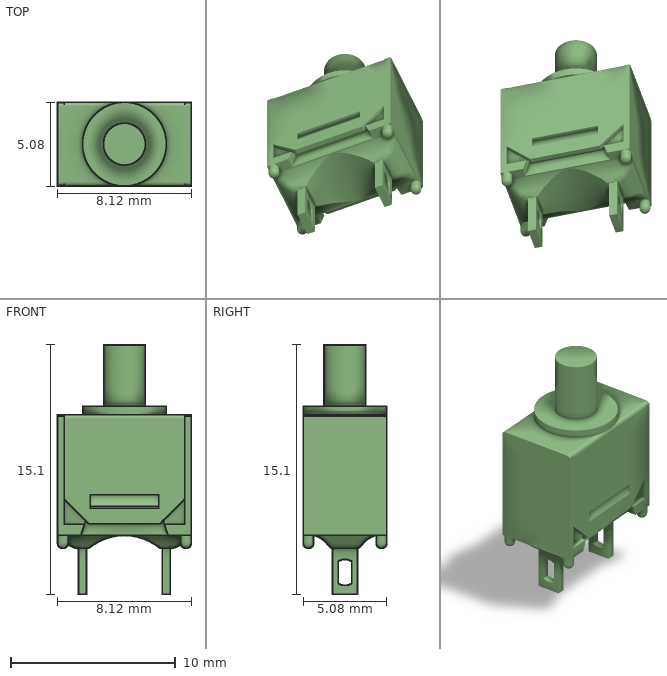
import cadquery as cq
import math

LENGTH = 8.12
DEPTH = 5.08
TOTAL_HEIGHT = 15.13
SEAL_TIP_Z = 2.78
HOUSING_BOTTOM_Z = 3.57
CLIP_TOP_Z = 10.91

CLIP_TOP_THICKNESS = 0.1
LEG_THICKNESS = 0.3
BEND_RADIUS = 0.24
LEG_WIDTH = 7.32
LEG_BOTTOM_Z = 4.3
LEG_CORNER_CHAMFER = 1.48
WINDOW_WIDTH = 4.16
WINDOW_BOTTOM_Z = 5.22
WINDOW_HEIGHT = 0.82

HOUSING_TOP_Z = CLIP_TOP_Z - CLIP_TOP_THICKNESS
RECESS_BOTTOM_Z = 4.25
CATCH_FACE_HEIGHT = 0.14
NOTCH_DEPTH = 0.6
NOTCH_BOTTOM_WIDTH = 5.3
NOTCH_TOP_WIDTH = 4.69
NOTCH_TOP_Z = 4.5
FOOT_DIAMETER = 0.65

COLLAR_DIAMETER = DEPTH
COLLAR_HEIGHT = 0.51
STEM_DIAMETER = 2.54

TERMINAL_X = STEM_DIAMETER
TERMINAL_THICKNESS = 0.5
TERMINAL_WIDTH = 1.53
EYE_WIDTH = 0.8
EYE_HEIGHT = 1.56
EYE_CENTER_Z = 1.33

POCKET_LENGTH = 6.65
POCKET_WIDTH = 3.33
POCKET_DEPTH = 0.3
POCKET_TOP_Z = HOUSING_BOTTOM_Z + POCKET_DEPTH
SEAL_HALF_LENGTH = 3.93
SEAL_HALF_WIDTH = 1.85
SEAL_TIP_HALF_WIDTH = 0.8
SIDE_BREAK_HALF_WIDTH = 1.05
SIDE_BREAK_DROP = 0.55
SIDE_FLANK_HOLLOW = 0.08
END_BREAK_X = 3.48
END_BREAK_DROP = 0.45
END_ROUND_BULGE = 0.06
END_TIP_X = 2.87
SEAL_CORNER_RADIUS = 0.42
ARCH_RADIUS = 3.39


def box_between(x_size, y_size, z_low, z_high):
    """Box centred on the Z axis between two heights."""
    height = z_high - z_low
    return cq.Workplane("XY", origin=(0, 0, z_low)).box(x_size, y_size, height, centered=(True, True, False))


def front_and_back(front_shape):
    """The given front shape together with its mirror image on the back."""
    return [front_shape, front_shape.mirror("XZ")]


def bowed_midpoint(start, end, bow):
    """Point at the middle of a chord, moved sideways by bow (positive to the left of travel)."""
    run = end[0] - start[0]
    rise = end[1] - start[1]
    chord = math.hypot(run, rise)
    middle_x = (start[0] + end[0]) / 2
    middle_z = (start[1] + end[1]) / 2
    return (middle_x - bow * rise / chord, middle_z + bow * run / chord)


def make_leg():
    """Front leg of the clip: a plate with its lower corners cut off."""
    leg = box_between(LEG_WIDTH, LEG_THICKNESS, LEG_BOTTOM_Z, HOUSING_TOP_Z)
    leg = leg.edges("|Y and <Z").chamfer(LEG_CORNER_CHAMFER)
    return leg.translate((0, (LEG_THICKNESS - DEPTH) / 2, 0))


def make_window():
    """Cutter for the snap window in the front leg."""
    window = box_between(WINDOW_WIDTH, LEG_THICKNESS, WINDOW_BOTTOM_Z, WINDOW_BOTTOM_Z + WINDOW_HEIGHT)
    return window.translate((0, (LEG_THICKNESS - DEPTH) / 2, 0))


def make_clip():
    clip = box_between(LENGTH, DEPTH, HOUSING_TOP_Z, CLIP_TOP_Z)
    for leg in front_and_back(make_leg()):
        clip = clip.union(leg)
    bend_envelope = box_between(LENGTH, DEPTH, 0, CLIP_TOP_Z).edges("|X and >Z").fillet(BEND_RADIUS)
    clip = clip.intersect(bend_envelope)
    for window in front_and_back(make_window()):
        clip = clip.cut(window)
    return clip


def make_recess():
    """Cutter for the front recess that takes a clip leg."""
    recess = box_between(LEG_WIDTH, LEG_THICKNESS, RECESS_BOTTOM_Z, HOUSING_TOP_Z)
    return recess.translate((0, (LEG_THICKNESS - DEPTH) / 2, 0))


def make_catch():
    """Snap catch in the front window: an upright face with a ramp above it, back to the recess floor."""
    front_y = -DEPTH / 2
    root_y = front_y + LEG_THICKNESS
    window_top_z = WINDOW_BOTTOM_Z + WINDOW_HEIGHT
    profile = [
        (root_y, WINDOW_BOTTOM_Z),
        (front_y, WINDOW_BOTTOM_Z),
        (front_y, WINDOW_BOTTOM_Z + CATCH_FACE_HEIGHT),
        (root_y, window_top_z),
    ]
    return cq.Workplane("YZ").polyline(profile).close().extrude(WINDOW_WIDTH / 2, both=True)


def make_notch():
    """Cutter for the tapered notch under the front leg."""
    outline = [
        (-NOTCH_BOTTOM_WIDTH / 2, HOUSING_BOTTOM_Z),
        (NOTCH_BOTTOM_WIDTH / 2, HOUSING_BOTTOM_Z),
        (NOTCH_TOP_WIDTH / 2, NOTCH_TOP_Z),
        (-NOTCH_TOP_WIDTH / 2, NOTCH_TOP_Z),
    ]
    front_plane = cq.Workplane("XZ", origin=(0, -DEPTH / 2, 0))
    return front_plane.polyline(outline).close().extrude(-NOTCH_DEPTH)


def make_foot(x, y):
    """Standoff foot: a short pin with a ball end."""
    radius = FOOT_DIAMETER / 2
    ball_z = SEAL_TIP_Z + radius
    pin = cq.Workplane("XY", origin=(x, y, ball_z)).circle(radius).extrude(HOUSING_BOTTOM_Z - ball_z)
    ball = cq.Workplane("XY", origin=(x, y, ball_z)).sphere(radius)
    return pin.union(ball)


def make_housing():
    housing = box_between(LENGTH, DEPTH, HOUSING_BOTTOM_Z, HOUSING_TOP_Z)
    for cutter in front_and_back(make_recess()) + front_and_back(make_notch()):
        housing = housing.cut(cutter)
    for catch in front_and_back(make_catch()):
        housing = housing.union(catch)
    housing = housing.cut(box_between(POCKET_LENGTH, POCKET_WIDTH, HOUSING_BOTTOM_Z, POCKET_TOP_Z))
    foot_x = (LENGTH - FOOT_DIAMETER) / 2
    foot_y = (DEPTH - FOOT_DIAMETER) / 2
    for x in (-foot_x, foot_x):
        for y in (-foot_y, foot_y):
            housing = housing.union(make_foot(x, y))
    return housing


def make_actuator():
    collar = cq.Workplane("XY", origin=(0, 0, CLIP_TOP_Z)).circle(COLLAR_DIAMETER / 2).extrude(COLLAR_HEIGHT)
    stem_height = TOTAL_HEIGHT - CLIP_TOP_Z - COLLAR_HEIGHT
    return collar.faces(">Z").workplane().circle(STEM_DIAMETER / 2).extrude(stem_height)


def make_terminal_blank(x):
    """Terminal strip without its eye, from its tip up to the pocket floor."""
    return box_between(TERMINAL_THICKNESS, TERMINAL_WIDTH, 0, POCKET_TOP_Z).translate((x, 0, 0))


def make_terminal(x):
    eye_bottom_z = EYE_CENTER_Z - EYE_HEIGHT / 2
    slot = box_between(TERMINAL_THICKNESS, EYE_WIDTH, eye_bottom_z, eye_bottom_z + EYE_HEIGHT)
    eye_plane = cq.Workplane("YZ", origin=(0, 0, EYE_CENTER_Z))
    round_ends = eye_plane.circle(EYE_HEIGHT / 2).extrude(TERMINAL_THICKNESS / 2, both=True)
    eye = slot.intersect(round_ends).translate((x, 0, 0))
    return make_terminal_blank(x).cut(eye)


def make_seal_cross_section():
    """Mound section across the switch, with hollow flanks, run along X."""
    side_break_z = HOUSING_BOTTOM_Z - SIDE_BREAK_DROP
    left_top = (-SEAL_HALF_WIDTH, HOUSING_BOTTOM_Z)
    left_break = (-SIDE_BREAK_HALF_WIDTH, side_break_z)
    right_break = (SIDE_BREAK_HALF_WIDTH, side_break_z)
    right_top = (SEAL_HALF_WIDTH, HOUSING_BOTTOM_Z)
    section = (
        cq.Workplane("YZ")
        .moveTo(*left_top)
        .threePointArc(bowed_midpoint(left_top, left_break, SIDE_FLANK_HOLLOW), left_break)
        .lineTo(-SEAL_TIP_HALF_WIDTH, SEAL_TIP_Z)
        .lineTo(SEAL_TIP_HALF_WIDTH, SEAL_TIP_Z)
        .lineTo(*right_break)
        .threePointArc(bowed_midpoint(right_break, right_top, SIDE_FLANK_HOLLOW), right_top)
        .close()
    )
    return section.extrude(SEAL_HALF_LENGTH, both=True)


def make_seal_long_section():
    """Mound section along the switch, with rounded ends, run along Y."""
    end_break_z = HOUSING_BOTTOM_Z - END_BREAK_DROP
    left_break = (-END_BREAK_X, end_break_z)
    left_tip = (-END_TIP_X, SEAL_TIP_Z)
    right_tip = (END_TIP_X, SEAL_TIP_Z)
    right_break = (END_BREAK_X, end_break_z)
    section = (
        cq.Workplane("XZ")
        .moveTo(-SEAL_HALF_LENGTH, HOUSING_BOTTOM_Z)
        .lineTo(*left_break)
        .threePointArc(bowed_midpoint(left_break, left_tip, -END_ROUND_BULGE), left_tip)
        .lineTo(*right_tip)
        .threePointArc(bowed_midpoint(right_tip, right_break, -END_ROUND_BULGE), right_break)
        .lineTo(SEAL_HALF_LENGTH, HOUSING_BOTTOM_Z)
        .close()
    )
    return section.extrude(SEAL_HALF_WIDTH, both=True)


def make_potting():
    mounds = make_seal_cross_section().intersect(make_seal_long_section())
    mounds = mounds.edges("not(|X or |Y)").fillet(SEAL_CORNER_RADIUS)
    arch_plane = cq.Workplane("XZ", origin=(0, 0, HOUSING_BOTTOM_Z - ARCH_RADIUS))
    arch = arch_plane.circle(ARCH_RADIUS).extrude(SEAL_HALF_WIDTH, both=True)
    plug = box_between(POCKET_LENGTH, POCKET_WIDTH, HOUSING_BOTTOM_Z, POCKET_TOP_Z)
    potting = plug.union(mounds.cut(arch))
    for x in (-TERMINAL_X, TERMINAL_X):
        potting = potting.cut(make_terminal_blank(x))
    return potting


housing = make_housing()
clip = make_clip()
actuator = make_actuator()
potting = make_potting()
terminals = [make_terminal(x) for x in (-TERMINAL_X, TERMINAL_X)]

result = cq.Compound.makeCompound(
    [
        housing.val(),
        clip.val(),
        actuator.val(),
        potting.val(),
        *[terminal.val() for terminal in terminals],
    ]
)